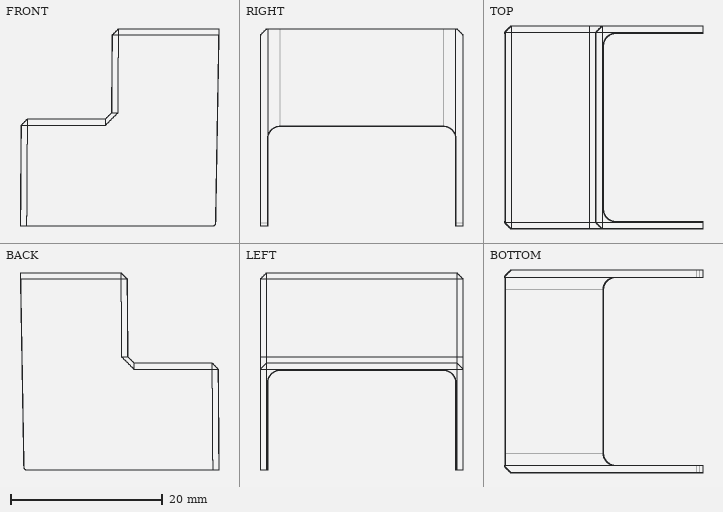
import cadquery as cq
import math

length = 26.28
width = 26.85
height = 26.1

step_x = 12.05
step_z = 14.17
wall = 1.0
inner_radius = 1.6
edge_chamfer = 0.83
inside_bevel = 0.8

front_draft = 0.4
back_draft = 1.0
back_corner_radius = 0.4

front_slope = math.tan(math.radians(front_draft))
back_slope = math.tan(math.radians(back_draft))


def extrude_across(points, across):
    """Extrude an XZ outline symmetrically about the Y = 0 plane."""
    return cq.Workplane("XZ").polyline(points).close().extrude(across / 2, both=True)


def make_body():
    """Solid step shape with bevelled outer edges."""
    outline = [
        (0, 0),
        (step_z * front_slope, step_z),
        (step_x, step_z),
        (step_x + (height - step_z) * front_slope, height),
        (length, height),
        (length - height * back_slope, 0),
    ]
    body = extrude_across(outline, width)

    body = body.edges("|Y").edges(cq.selectors.NearestToPointSelector((length, 0, 0)))
    body = body.fillet(back_corner_radius)

    middles = [(x, 0, z) for x, z in (outline[1], outline[3])]
    for start, end in zip(outline[0:4], outline[1:5]):
        x = (start[0] + end[0]) / 2
        z = (start[1] + end[1]) / 2
        middles += [(x, -width / 2, z), (x, width / 2, z)]
    bevelled = [body.edges(cq.selectors.NearestToPointSelector(middle)).val() for middle in middles]
    return body.newObject(bevelled).chamfer(edge_chamfer)


def make_inside_bevel():
    """Sloping strip filling the corner between tread and riser, ending flush with the sides."""
    buried = 0.13
    high_z = step_z + inside_bevel
    riser_x = step_x + inside_bevel * front_slope

    def section(y, setback):
        """Triangle at the given Y, set back from the tread and riser faces."""
        corner = (step_x + setback + buried, y, step_z - setback - buried)
        low = (step_x - inside_bevel, y, step_z - setback)
        high = (riser_x + setback, y, high_z)
        return cq.Wire.makePolygon([cq.Vector(*point) for point in (low, high, corner)], close=True)

    middle_y = width / 2 - edge_chamfer
    strip = cq.Workplane(cq.Solid.makeLoft([section(-middle_y, 0), section(middle_y, 0)], True))
    for side in (-1, 1):
        sections = [section(side * middle_y, 0), section(side * width / 2, edge_chamfer)]
        strip = strip.union(cq.Workplane(cq.Solid.makeLoft(sections, True)))
    return strip


def make_channel():
    """Open inside of the cover, rounded where its roof and riser meet the side walls."""
    past_end = 2.68
    roof_z = step_z - wall
    riser_x = step_x + wall
    inner_width = width - 2 * wall
    lower_size = (length + 2 * past_end, inner_width, roof_z + past_end)
    lower = cq.Workplane("XY").box(*lower_size, centered=(False, True, False))
    lower = lower.translate((-past_end, 0, -past_end))
    lower = lower.edges("|X and >Z").fillet(inner_radius)
    riser_outline = [
        (riser_x - (step_z + past_end) * front_slope, -past_end),
        (riser_x + (height + past_end - step_z) * front_slope, height + past_end),
        (length + past_end, height + past_end),
        (length + past_end, -past_end),
    ]
    upper = extrude_across(riser_outline, inner_width)
    upper = upper.faces("<X").edges("not |Y").fillet(inner_radius)
    return lower.union(upper)


result = make_body().union(make_inside_bevel()).cut(make_channel())